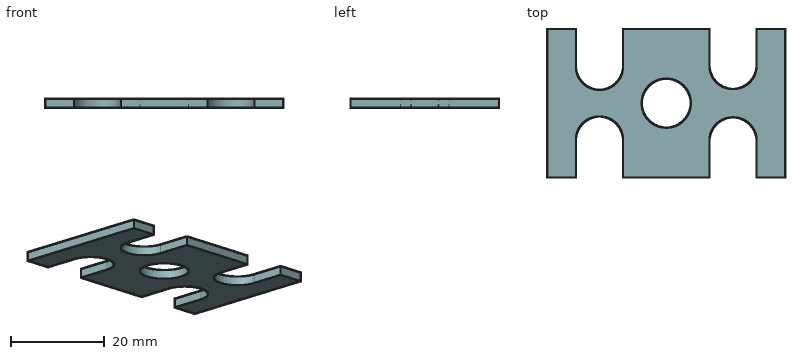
import cadquery as cq

length = 50.8
width = 31.75
thickness = 2.0

hole_diameter = 10.4

slot_width = 10.0
slot_spacing = 28.5
left_slot_gap = 5.75
right_slot_gap = 6.1


def edge_slot(x, side, gap):
    """Slot at x, cut from the edge on the given Y side (+1 or -1) to a round end."""
    radius = slot_width / 2
    arc_start_y = side * (gap / 2 + radius)
    edge_y = side * width / 2
    return (
        cq.Workplane("XY")
        .moveTo(x - radius, edge_y)
        .lineTo(x - radius, arc_start_y)
        .threePointArc((x, side * gap / 2), (x + radius, arc_start_y))
        .lineTo(x + radius, edge_y)
        .close()
        .extrude(thickness)
    )


plate = cq.Workplane("XY").box(length, width, thickness, centered=(True, True, False))
result = plate.faces(">Z").workplane().hole(hole_diameter)

for slot_x, slot_gap in (
    (-slot_spacing / 2, left_slot_gap),
    (slot_spacing / 2, right_slot_gap),
):
    for edge_side in (-1, 1):
        result = result.cut(edge_slot(slot_x, edge_side, slot_gap))